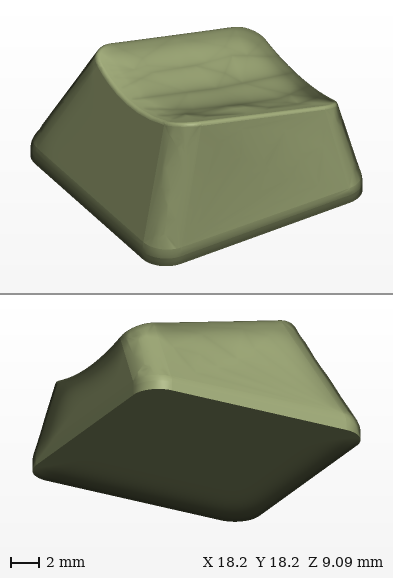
import cadquery as cq
import math

base_width = 18.16
base_corner_radius = 2.0
skirt_height = 0.65
wall_foot_height = 0.95
blend_rise = 0.04

top_tilt = 13.9
top_width = 11.73
top_front_y = -5.03
top_back_y = 8.68
top_corner_radius = 1.85
top_height_at_origin = 8.52

dish_front_y = -10.9
dish_front_floor = 9.3
dish_front_radius = 11.39
dish_back_y = 10.9
dish_back_floor = 4.6
dish_back_radius = 17.67
rim_radius = 0.29

tilt_slope = math.tan(math.radians(top_tilt))
tilt_cosine = math.cos(math.radians(top_tilt))
top_middle_y = (top_front_y + top_back_y) / 2
top_middle_height = top_height_at_origin - top_middle_y * tilt_slope
top_length = (top_back_y - top_front_y) / tilt_cosine


def between(start, end, share):
    return start + (end - start) * share


def rounded_outline(width, length, radius, plane):
    """Closed wire of a rounded rectangle centred on the plane's origin."""
    face = cq.Sketch().rect(width, length).vertices().fillet(radius).reset().faces().val()
    return face.outerWire().moved(plane.location)


def wall_outline(rise):
    """Outline of the straight walls: rise is 0 at their foot, 1 on the sloping plane."""
    plane = cq.Plane(
        origin=(
            0,
            between(0, top_middle_y, rise),
            between(wall_foot_height, top_middle_height, rise),
        ),
        xDir=(1, 0, 0),
        normal=(0, between(0, tilt_slope, rise), 1),
    )
    return rounded_outline(
        between(base_width, top_width, rise),
        between(base_width, top_length, rise),
        between(base_corner_radius, top_corner_radius, rise),
        plane,
    )


def skirt_outline(height):
    plane = cq.Plane(origin=(0, 0, height))
    return rounded_outline(base_width, base_width, base_corner_radius, plane)


def make_outside():
    """Upright skirt, then a narrow convex blend, then straight-ruled walls."""
    skirt = cq.Solid.makeLoft([skirt_outline(0), skirt_outline(skirt_height)], True)
    edge_share = 0.25
    drop = cq.Vector(0, 0, (skirt_height - wall_foot_height) * edge_share)
    blend_middle = wall_outline(blend_rise * edge_share).moved(cq.Location(drop))
    blend = cq.Solid.makeLoft(
        [skirt_outline(skirt_height), blend_middle, wall_outline(blend_rise)]
    )
    walls = cq.Solid.makeLoft([wall_outline(blend_rise), wall_outline(1)], True)
    return cq.Workplane(skirt).union(cq.Workplane(blend)).union(cq.Workplane(walls))


def dish_circle(y, floor_height, radius):
    """Upright circle across the trough, touching its floor."""
    return cq.Wire.makeCircle(radius, cq.Vector(0, y, floor_height + radius), cq.Vector(0, 1, 0))


def make_dish():
    front = dish_circle(dish_front_y, dish_front_floor, dish_front_radius)
    back = dish_circle(dish_back_y, dish_back_floor, dish_back_radius)
    return cq.Workplane(cq.Solid.makeLoft([front, back], True))


dished = make_outside().cut(make_dish())
dish_middle = (0, top_middle_y, (dish_front_floor + dish_back_floor) / 2)
result = dished.faces(cq.selectors.NearestToPointSelector(dish_middle)).edges().fillet(rim_radius)